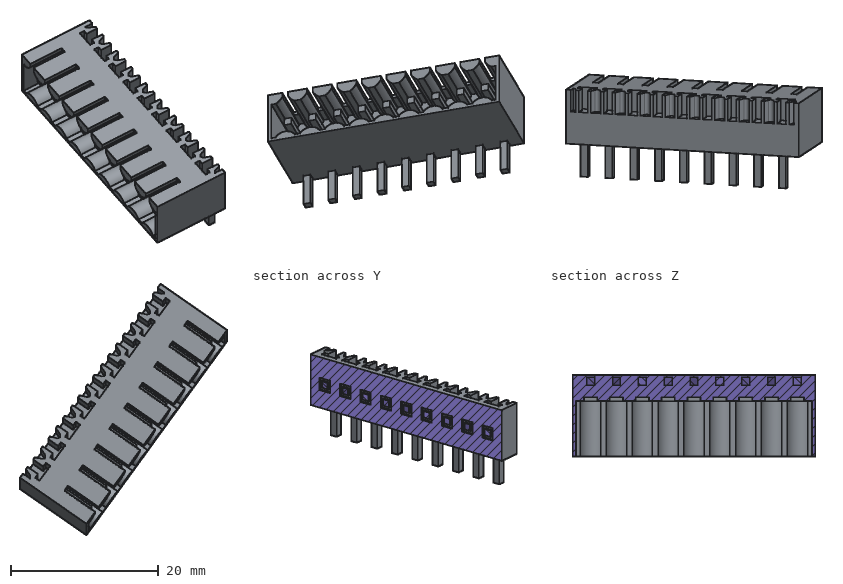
import cadquery as cq
import math

PIN_COUNT = 9
PITCH = 3.5
LENGTH = 32.9
DEPTH = 11.05
HEIGHT = 7.45
LEG_LENGTH = 4.5

END_WALL = 0.5
FLOOR = 0.45
ROOF = 1.6
CAVITY_DEPTH = 7.5
TONGUE_FLAT_HALF = 0.45
TONGUE_SIDE_HEIGHT = 0.65
TONGUE_BULGE = 0.1
TONGUE_TOP_GAP = 0.5
BUMP_HALF_WIDTH = 1.37
BUMP_HEIGHT = 0.7

ROOF_SLOT_WIDTH = 0.8
ROOF_SLOT_LENGTH = 5.1

REAR_SLOT_DROP = 3.0

T_STEM_WIDTH = 1.25
T_STEM_LENGTH = 1.7
T_BAR_WIDTH = 2.5
T_LENGTH = 2.4

V_LENGTH = 1.15
V_MOUTH_HALF_WIDTH = 0.7
V_ROUND_RADIUS = 0.4

PIN_SIZE = 1.0
PIN_AXIS_DROP = 3.95
PIN_TIP_SETBACK = 1.2
PIN_REAR_GAP = 0.35
PIN_POCKET_SIZE = 1.75
PIN_POCKET_DEPTH = 0.5

HALF_LENGTH = LENGTH / 2
CAVITY_HALF = HALF_LENGTH - END_WALL
REAR_SLOT_FLOOR = HEIGHT - REAR_SLOT_DROP
CAVITY_TOP = HEIGHT - ROOF
CHANNEL_TOP = HEIGHT - TONGUE_TOP_GAP
PIN_Z = HEIGHT - PIN_AXIS_DROP
PIN_REAR = DEPTH - PIN_REAR_GAP
PIN_XS = [(i - (PIN_COUNT - 1) / 2) * PITCH for i in range(PIN_COUNT)]
GAP_XS = [PIN_XS[0] - PITCH / 2] + [x + PITCH / 2 for x in PIN_XS]


def block(x0, x1, y0, y1, z0, z1):
    return cq.Workplane("XY").box(x1 - x0, y1 - y0, z1 - z0, centered=False).translate((x0, y0, z0))


def centred_block(x, width, y0, y1, z0, z1):
    return block(x - width / 2, x + width / 2, y0, y1, z0, z1)


def rod(x, z, radius, length):
    """Cylinder along Y, starting at the housing front."""
    return cq.Workplane("XZ").center(x, z).circle(radius).extrude(-length)


def channel(x):
    """Space between two neighbouring tongues, with convex sides."""
    mouth_half = PITCH / 2 - TONGUE_FLAT_HALF
    neck_half = ROOF_SLOT_WIDTH / 2
    neck_z = HEIGHT - TONGUE_SIDE_HEIGHT
    return (
        cq.Workplane("XZ")
        .moveTo(x - mouth_half, CAVITY_TOP)
        .sagittaArc((x - neck_half, neck_z), -TONGUE_BULGE)
        .lineTo(x - neck_half, CHANNEL_TOP)
        .lineTo(x + neck_half, CHANNEL_TOP)
        .lineTo(x + neck_half, neck_z)
        .sagittaArc((x + mouth_half, CAVITY_TOP), -TONGUE_BULGE)
        .close()
        .extrude(-CAVITY_DEPTH)
    )


def cavity():
    """Open mating space with channels in its roof and rounded ridges on its floor."""
    space = block(-CAVITY_HALF, CAVITY_HALF, 0, CAVITY_DEPTH, FLOOR, CAVITY_TOP)
    bump_radius = (BUMP_HALF_WIDTH**2 + BUMP_HEIGHT**2) / (2 * BUMP_HEIGHT)
    bump_z = FLOOR + BUMP_HEIGHT - bump_radius
    for x in PIN_XS:
        space = space.union(channel(x)).cut(rod(x, bump_z, bump_radius, CAVITY_DEPTH))
    return space


def t_slot(x):
    """Blind T slot, its bar ahead of the stem that opens at the rear."""
    stem = centred_block(x, T_STEM_WIDTH, DEPTH - T_LENGTH, DEPTH, REAR_SLOT_FLOOR, HEIGHT)
    bar = centred_block(x, T_BAR_WIDTH, DEPTH - T_LENGTH, DEPTH - T_STEM_LENGTH, REAR_SLOT_FLOOR, HEIGHT)
    return stem.union(bar)


def v_notch(x):
    """V notch whose straight sides run tangent into a rounded root, kept between the outer gaps."""
    round_y = DEPTH - V_LENGTH + V_ROUND_RADIUS
    reach = math.hypot(V_MOUTH_HALF_WIDTH, DEPTH - round_y)
    tilt = math.acos(V_ROUND_RADIUS / reach) - math.atan2(DEPTH - round_y, V_MOUTH_HALF_WIDTH)
    tangent_x = V_ROUND_RADIUS * math.cos(tilt)
    tangent_y = round_y - V_ROUND_RADIUS * math.sin(tilt)
    notch = (
        cq.Workplane("XY", origin=(0, 0, REAR_SLOT_FLOOR))
        .moveTo(x - V_MOUTH_HALF_WIDTH, DEPTH)
        .lineTo(x - tangent_x, tangent_y)
        .threePointArc((x, DEPTH - V_LENGTH), (x + tangent_x, tangent_y))
        .lineTo(x + V_MOUTH_HALF_WIDTH, DEPTH)
        .close()
        .extrude(REAR_SLOT_DROP)
    )
    return notch.intersect(block(GAP_XS[0], GAP_XS[-1], 0, DEPTH, 0, HEIGHT))


def make_pin(x):
    """Square pin bent down at the rear: contact bar and soldering leg."""
    half = PIN_SIZE / 2
    bar = centred_block(x, PIN_SIZE, PIN_TIP_SETBACK, PIN_REAR, PIN_Z - half, PIN_Z + half)
    leg = centred_block(x, PIN_SIZE, PIN_REAR - PIN_SIZE, PIN_REAR, -LEG_LENGTH, PIN_Z + half)
    return bar.union(leg)


def pin_pocket(x):
    """Square recess around the pin in the back wall of the cavity."""
    half = PIN_POCKET_SIZE / 2
    end = CAVITY_DEPTH + PIN_POCKET_DEPTH
    return centred_block(x, PIN_POCKET_SIZE, CAVITY_DEPTH, end, PIN_Z - half, PIN_Z + half)


def make_housing():
    body = block(-HALF_LENGTH, HALF_LENGTH, 0, DEPTH, 0, HEIGHT).cut(cavity())
    for x in PIN_XS:
        body = body.cut(centred_block(x, ROOF_SLOT_WIDTH, 0, ROOF_SLOT_LENGTH, CAVITY_TOP, HEIGHT))
        body = body.cut(pin_pocket(x)).cut(t_slot(x)).cut(make_pin(x))
    for x in GAP_XS:
        body = body.cut(v_notch(x))
    return body


housing = make_housing()
pins = [make_pin(x) for x in PIN_XS]
result = cq.Compound.makeCompound([housing.val(), *[pin.val() for pin in pins]])